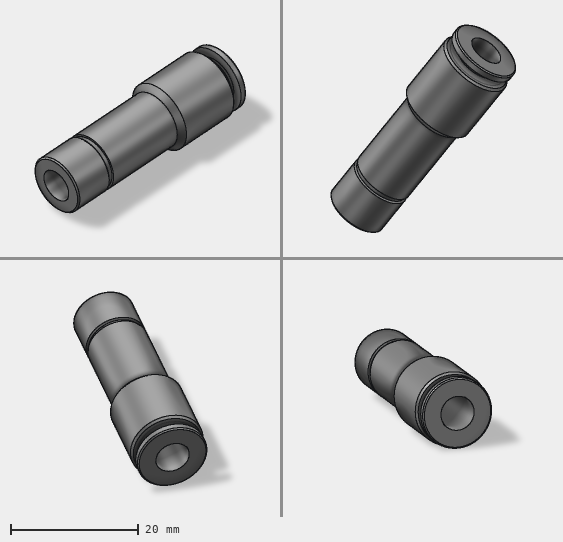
import cadquery as cq

length = 36.7
bore_radius = 5.5 / 2

stem_radius = 9.95 / 2
stem_chamfer = 0.25
groove_radius = 9.25 / 2
groove_start = 6.83
groove_slope_length = 0.2
groove_end = 7.78

body_radius = 12.0 / 2
body_start = 22.02
shoulder_length = body_radius - stem_radius
body_end = 34.0
body_chamfer = 0.35

neck_radius = 7.4 / 2
body_cone_length = 0.22
flange_cone_length = 0.2
body_cone_radius = 5.0
flange_cone_radius = 4.1
flange_radius = 11.45 / 2
flange_thickness = 1.17
flange_chamfer = 0.22
flange_start = length - flange_thickness

stem_outline = [
    (bore_radius, 0),
    (stem_radius - stem_chamfer, 0),
    (stem_radius, stem_chamfer),
    (stem_radius, groove_start),
    (groove_radius, groove_start + groove_slope_length),
    (groove_radius, groove_end),
    (stem_radius, groove_end),
    (stem_radius, body_start),
]
body_outline = [
    (body_radius, body_start + shoulder_length),
    (body_radius, body_end - body_chamfer),
    (body_radius - body_chamfer, body_end),
]
collar_outline = [
    (body_cone_radius, body_end),
    (neck_radius, body_end + body_cone_length),
    (neck_radius, flange_start - flange_cone_length),
    (flange_cone_radius, flange_start),
    (flange_radius, flange_start),
    (flange_radius, length - flange_chamfer),
    (flange_radius - flange_chamfer, length),
    (bore_radius, length),
]

half_section = cq.Workplane("XY", origin=(0, -length / 2, 0)).polyline(
    stem_outline + body_outline + collar_outline
).close()
result = half_section.revolve(360, (0, 0, 0), (0, 1, 0))